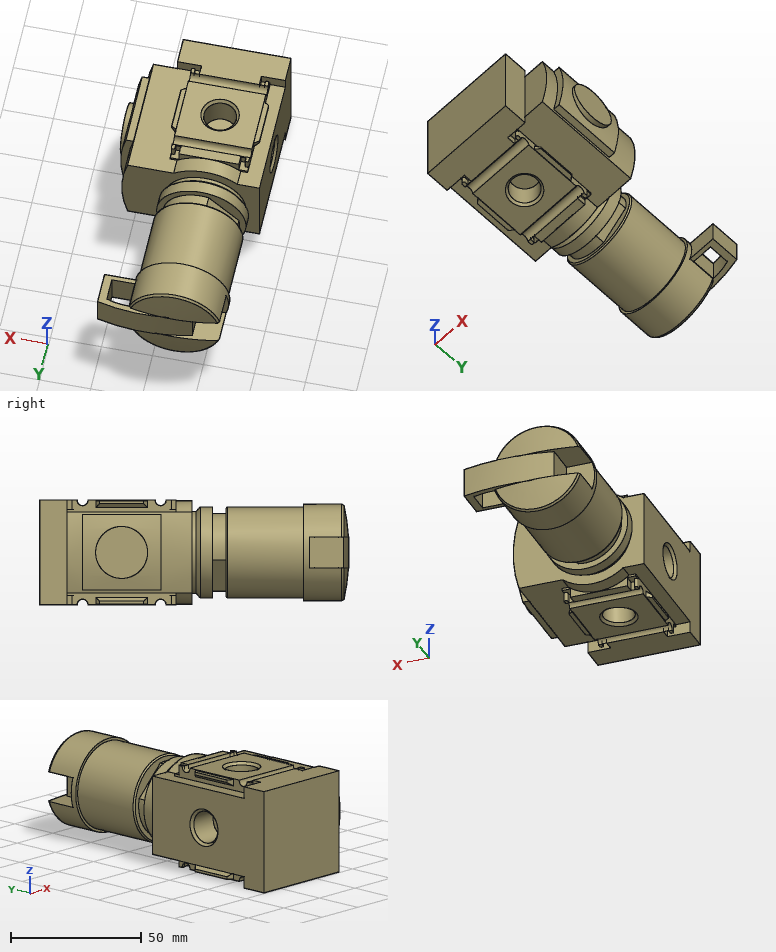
import cadquery as cq
import math


HOUSING_WIDTH = 42.3
HOUSING_HEIGHT = 40.2
HOUSING_LENGTH = 58.5
HALF_WIDTH = HOUSING_WIDTH / 2
HALF_HEIGHT = HOUSING_HEIGHT / 2
FRONT_LENGTH = 10.6
PAD_END_Y = 52.3
CORE_HALF_HEIGHT = 15.5
PAD_HALF_WIDTH = 15.2
HEAD_DIAMETER = 39.9

PORT_Y = 31.5
PORT_DIAMETER = 12.6
PORT_MOUTH_DIAMETER = 14.7
PORT_CHAMFER = (PORT_MOUTH_DIAMETER - PORT_DIAMETER) / 2
PORT_DEPTH = 11.9

GROOVE_OFFSET = 15.0
GROOVE_RADIUS = 2.0
GROOVE_DEPTH = 2.1

POCKET_WIDTH = 3.5
POCKET_DEPTH = 3.7
POST_WIDTH = 1.4
POST_LENGTH = 2.1
POST_END_RADIUS = 0.6

TAB_ROOT_LENGTH = 19.8
TAB_TIP_LENGTH = 16.9
TAB_REACH = 2.0
TAB_TOP_Z = HALF_HEIGHT - 0.4
TAB_ROOT_THICKNESS = 2.5
TAB_TIP_THICKNESS = 1.1

COVER_EDGE_X = 30.5
COVER_CROWN_X = 32.9
PLATE_EDGE_X = 33.7
PLATE_CROWN_X = 35.8
PLATE_LENGTH = 30.0
PLATE_HEIGHT = 29.0
BUTTON_DIAMETER = 20.0
BUTTON_END_X = 37.0

SPIGOT_DIAMETER = 31.6
COLLAR_DIAMETER = 35.0
COLLAR_CONE_START_Y = 60.1
COLLAR_START_Y = 61.6
NECK_START_Y = 66.4
NECK_DIAMETER = 30.0
NECK_FLAT_DISTANCE = 12.5
KNOB_START_Y = 71.5
KNOB_DIAMETER = 35.0
KNOB_CHAMFER = 0.6
CAP_START_Y = 101.1
CAP_DIAMETER = 37.2
CAP_EDGE_Y = 115.9
CAP_EDGE_RISE = 1.0
CAP_EDGE_INSET = 0.6
DOME_TOP_Y = 118.7

SLIDE_THICKNESS = 11.8
SLIDE_BOTTOM_Y = 103.5
SLIDE_HALF_LENGTH = CAP_DIAMETER / 2
SLIDE_TRAVEL = 11.5
SLIDE_SHOULDER_DROP = 2.3
WINDOW_START_X = 17.8
WINDOW_END_X = 26.8
WINDOW_BOTTOM_Y = 105.4
WINDOW_CROWN_Y = 116.0
WINDOW_ARC_RADIUS = 29.3


def box(x_range, y_range, z_range):
    """Axis-aligned box between pairs of coordinates."""
    (x0, x1), (y0, y1), (z0, z1) = x_range, y_range, z_range
    return cq.Workplane("XY").box(x1 - x0, y1 - y0, z1 - z0, centered=False).translate((x0, y0, z0))


def cylinder_along_y(diameter, start_y, end_y):
    return cq.Workplane("XZ", origin=(0, start_y, 0)).circle(diameter / 2).extrude(start_y - end_y)


def mirrored_to_four(shape):
    """The shape with its copies across the YZ and XY planes."""
    pair = shape.union(shape.mirror("YZ"))
    return pair.union(pair.mirror("XY"))


def housing_block():
    front = box((-HALF_WIDTH, HALF_WIDTH), (0, FRONT_LENGTH), (-HALF_HEIGHT, HALF_HEIGHT))
    core = box((-HALF_WIDTH, HALF_WIDTH), (0, HOUSING_LENGTH), (-CORE_HALF_HEIGHT, CORE_HALF_HEIGHT))
    pads = box((-PAD_HALF_WIDTH, PAD_HALF_WIDTH), (0, PAD_END_Y), (-HALF_HEIGHT, HALF_HEIGHT))
    head = cylinder_along_y(HEAD_DIAMETER, PAD_END_Y, HOUSING_LENGTH)
    return front.union(core).union(pads).union(head)


def pad_grooves():
    """Round-bottomed grooves across the top pad and the bottom pad."""
    centre_z = HALF_HEIGHT - GROOVE_DEPTH + GROOVE_RADIUS
    grooves = cq.Workplane("XY")
    for side in (-1, 1):
        groove_y = PORT_Y + side * GROOVE_OFFSET
        bottom = (
            cq.Workplane("YZ", origin=(-PAD_HALF_WIDTH, groove_y, centre_z))
            .circle(GROOVE_RADIUS)
            .extrude(2 * PAD_HALF_WIDTH)
        )
        mouth = box(
            (-PAD_HALF_WIDTH, PAD_HALF_WIDTH),
            (groove_y - GROOVE_RADIUS, groove_y + GROOVE_RADIUS),
            (centre_z, HALF_HEIGHT),
        )
        grooves = grooves.union(bottom).union(mouth)
    return grooves.union(grooves.mirror("XY"))


def corner_pocket(groove_edge_y, outer_y):
    """Pocket from a groove to the pad end, less the post left standing beside the groove."""
    floor_z = HALF_HEIGHT - POCKET_DEPTH
    pocket = box(
        (PAD_HALF_WIDTH - POCKET_WIDTH, PAD_HALF_WIDTH),
        sorted((groove_edge_y, outer_y)),
        (floor_z, HALF_HEIGHT),
    )
    outward = math.copysign(1, outer_y - groove_edge_y)
    post = box(
        (PAD_HALF_WIDTH - POST_WIDTH, PAD_HALF_WIDTH),
        sorted((groove_edge_y, groove_edge_y + outward * POST_LENGTH)),
        (floor_z, HALF_HEIGHT),
    )
    end_face = ">Y" if outward > 0 else "<Y"
    post = post.faces(end_face).edges("|Z").fillet(POST_END_RADIUS)
    return pocket.cut(post)


def corner_pockets():
    groove_edge_offset = GROOVE_OFFSET + GROOVE_RADIUS
    front = corner_pocket(PORT_Y - groove_edge_offset, FRONT_LENGTH)
    back = corner_pocket(PORT_Y + groove_edge_offset, PAD_END_Y)
    return mirrored_to_four(front.union(back))


def dovetail_tabs():
    """Tapered tabs standing out of both sides of each pad, flat on top."""
    root_z = TAB_TOP_Z - TAB_ROOT_THICKNESS / 2
    tip_z = TAB_TOP_Z - TAB_TIP_THICKNESS / 2
    tab = (
        cq.Workplane("YZ", origin=(PAD_HALF_WIDTH, PORT_Y, 0))
        .center(0, root_z)
        .rect(TAB_ROOT_LENGTH, TAB_ROOT_THICKNESS)
        .workplane(offset=TAB_REACH)
        .center(0, tip_z - root_z)
        .rect(TAB_TIP_LENGTH, TAB_TIP_THICKNESS)
        .loft(combine=True)
    )
    return mirrored_to_four(tab)


def port():
    """Blind port with a chamfered mouth, cut down from Z = 0 towards -Z."""
    radius = PORT_DIAMETER / 2
    mouth_radius = PORT_MOUTH_DIAMETER / 2
    return (
        cq.Workplane("XZ")
        .polyline([
            (0, 0),
            (mouth_radius, 0),
            (radius, -PORT_CHAMFER),
            (radius, -PORT_DEPTH),
            (0, -PORT_DEPTH),
        ])
        .close()
        .revolve(360, (0, 0), (0, 1))
    )


def ports():
    """Ports in the top, bottom and -X faces."""
    top = port().translate((0, PORT_Y, HALF_HEIGHT))
    side = port().rotate((0, 0, 0), (0, 1, 0), -90).translate((-HALF_WIDTH, PORT_Y, 0))
    return top.union(top.mirror("XY")).union(side)


def crowned_block(edge_x, crown_x, half_height, y_range):
    """Block on the +X side whose outer face is curved about the Y direction."""
    start_y, end_y = y_range
    return (
        cq.Workplane("XZ", origin=(0, start_y, 0))
        .moveTo(HALF_WIDTH, -half_height)
        .lineTo(edge_x, -half_height)
        .threePointArc((crown_x, 0), (edge_x, half_height))
        .lineTo(HALF_WIDTH, half_height)
        .close()
        .extrude(start_y - end_y)
    )


def gauge():
    cover = crowned_block(COVER_EDGE_X, COVER_CROWN_X, CORE_HALF_HEIGHT, (FRONT_LENGTH, HOUSING_LENGTH))
    plate_range = (PORT_Y - PLATE_LENGTH / 2, PORT_Y + PLATE_LENGTH / 2)
    plate = crowned_block(PLATE_EDGE_X, PLATE_CROWN_X, PLATE_HEIGHT / 2, plate_range)
    button = (
        cq.Workplane("YZ", origin=(HALF_WIDTH, PORT_Y, 0))
        .circle(BUTTON_DIAMETER / 2)
        .extrude(BUTTON_END_X - HALF_WIDTH)
    )
    return cover.union(plate).union(button)


def neck():
    """Neck with two parallel wrench flats turned 45 degrees about the knob axis."""
    flat_block = (
        box(
            (-NECK_DIAMETER, NECK_DIAMETER),
            (NECK_START_Y, KNOB_START_Y),
            (-NECK_FLAT_DISTANCE, NECK_FLAT_DISTANCE),
        )
        .rotate((0, 0, 0), (0, 1, 0), -45)
    )
    return cylinder_along_y(NECK_DIAMETER, NECK_START_Y, KNOB_START_Y).intersect(flat_block)


def collar():
    spigot_radius = SPIGOT_DIAMETER / 2
    collar_radius = COLLAR_DIAMETER / 2
    return (
        cq.Workplane("XY")
        .polyline([
            (0, PAD_END_Y),
            (spigot_radius, PAD_END_Y),
            (spigot_radius, COLLAR_CONE_START_Y),
            (collar_radius, COLLAR_START_Y),
            (collar_radius, NECK_START_Y),
            (0, NECK_START_Y),
        ])
        .close()
        .revolve(360, (0, 0), (0, 1))
    )


def knob():
    """Knob barrel and its wider, domed cap."""
    barrel_radius = KNOB_DIAMETER / 2
    cap_radius = CAP_DIAMETER / 2
    dome_radius = cap_radius - CAP_EDGE_INSET
    dome_edge_y = CAP_EDGE_Y + CAP_EDGE_RISE
    dome_rise = DOME_TOP_Y - dome_edge_y
    sphere_radius = (dome_radius ** 2 + dome_rise ** 2) / (2 * dome_rise)
    middle_radius = dome_radius / 2
    middle_y = DOME_TOP_Y - sphere_radius + math.sqrt(sphere_radius ** 2 - middle_radius ** 2)
    return (
        cq.Workplane("XY")
        .moveTo(0, KNOB_START_Y)
        .lineTo(barrel_radius - KNOB_CHAMFER, KNOB_START_Y)
        .lineTo(barrel_radius, KNOB_START_Y + KNOB_CHAMFER)
        .lineTo(barrel_radius, CAP_START_Y)
        .lineTo(cap_radius, CAP_START_Y)
        .lineTo(cap_radius, CAP_EDGE_Y)
        .lineTo(dome_radius, dome_edge_y)
        .threePointArc((middle_radius, middle_y), (0, DOME_TOP_Y))
        .close()
        .revolve(360, (0, 0), (0, 1))
    )


def slide_slot():
    return box(
        (-CAP_DIAMETER, CAP_DIAMETER),
        (SLIDE_BOTTOM_Y, DOME_TOP_Y),
        (-SLIDE_THICKNESS / 2, SLIDE_THICKNESS / 2),
    )


def make_regulator():
    housing = housing_block().union(dovetail_tabs())
    housing = housing.cut(pad_grooves()).cut(corner_pockets()).cut(ports())
    return housing.union(gauge()).union(collar()).union(neck()).union(knob()).cut(slide_slot())


def slide_window():
    """Padlock window with a curved top."""
    def top_y(x):
        offset = x - WINDOW_START_X
        return WINDOW_CROWN_Y - WINDOW_ARC_RADIUS + math.sqrt(WINDOW_ARC_RADIUS ** 2 - offset ** 2)

    middle_x = (WINDOW_START_X + WINDOW_END_X) / 2
    return (
        cq.Workplane("XY")
        .moveTo(WINDOW_START_X, WINDOW_BOTTOM_Y)
        .lineTo(WINDOW_END_X, WINDOW_BOTTOM_Y)
        .lineTo(WINDOW_END_X, top_y(WINDOW_END_X))
        .threePointArc((middle_x, top_y(middle_x)), (WINDOW_START_X, WINDOW_CROWN_Y))
        .close()
        .extrude(SLIDE_THICKNESS / 2, both=True)
    )


def make_lock_slide():
    """Slide with a curved top, pulled out of the cap along +X."""
    inner_x = SLIDE_TRAVEL - SLIDE_HALF_LENGTH
    outer_x = SLIDE_TRAVEL + SLIDE_HALF_LENGTH
    shoulder_y = DOME_TOP_Y - SLIDE_SHOULDER_DROP
    slide = (
        cq.Workplane("XY")
        .moveTo(inner_x, SLIDE_BOTTOM_Y)
        .lineTo(outer_x, SLIDE_BOTTOM_Y)
        .lineTo(outer_x, shoulder_y)
        .threePointArc((SLIDE_TRAVEL, DOME_TOP_Y), (inner_x, shoulder_y))
        .close()
        .extrude(SLIDE_THICKNESS / 2, both=True)
    )
    return slide.cut(slide_window())


regulator = make_regulator()
lock_slide = make_lock_slide()
result = cq.Compound.makeCompound([regulator.val(), lock_slide.val()])